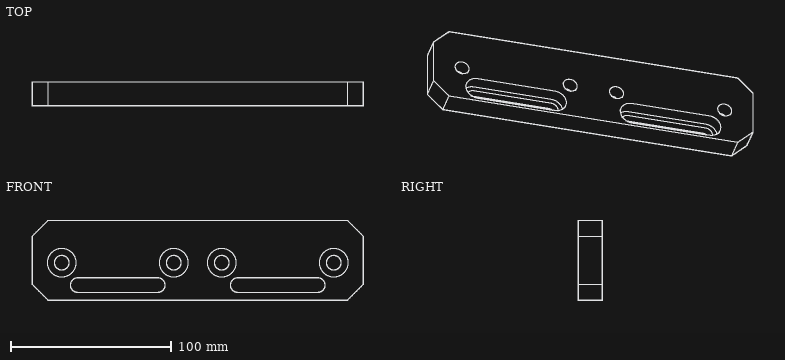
import cadquery as cq

length = 207.0
thickness = 15.0
height = 50.0
corner_chamfer = 10.0

hole_diameter = 9.0
countersink_diameter = 17.92
countersink_angle = 90.0
hole_height = 23.5
inner_hole_offset = 15.0
outer_hole_offset = 85.0

slot_travel = 50.0
slot_width = 9.0
recess_width = 15.0
recess_depth = 9.0
slot_height = 9.5
slot_offset = (inner_hole_offset + outer_hole_offset) / 2


def make_plate():
    """Upright plate centred on X and Y, resting on Z = 0, with its four corners cut."""
    blank = cq.Workplane("XY").box(length, thickness, height, centered=(True, True, False))
    return blank.edges("|Y").chamfer(corner_chamfer)


def front_plane():
    """Sketch plane on the -Y face: local x is X, local y is Z, normal points out of the part."""
    return cq.Workplane("XZ", origin=(0, -thickness / 2, 0))


def cut_countersunk_holes(body):
    offsets = (-outer_hole_offset, -inner_hole_offset, inner_hole_offset, outer_hole_offset)
    centres = [(x, hole_height) for x in offsets]
    face = body.copyWorkplane(front_plane())
    return face.pushPoints(centres).cskHole(hole_diameter, countersink_diameter, countersink_angle)


def make_slots(plane, width, depth):
    """Pair of slots with round ends, running from the plane in the +Y direction."""
    centres = [(side * slot_offset, slot_height) for side in (-1, 1)]
    return plane.pushPoints(centres).slot2D(slot_travel + width, width).extrude(-depth)


def cut_stepped_slots(body):
    through_slots = make_slots(front_plane(), slot_width, thickness)
    recess_floor = front_plane().workplane(offset=recess_depth - thickness)
    recesses = make_slots(recess_floor, recess_width, recess_depth)
    return body.cut(through_slots).cut(recesses)


result = cut_stepped_slots(cut_countersunk_holes(make_plate()))